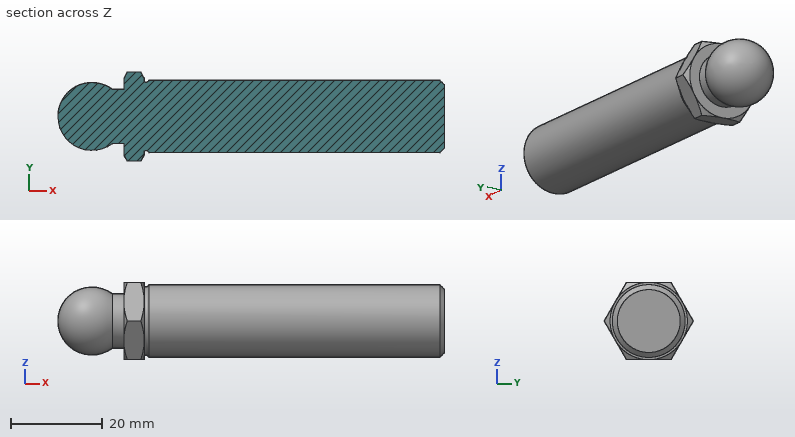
import cadquery as cq
import math

TOTAL_LENGTH = 85.0
BALL_DIAMETER = 15.0
NECK_DIAMETER = 12.0

SHANK_DIAMETER = 16.0
SHANK_LENGTH = 65.0
SHANK_END_CHAMFER = 1.09

GROOVE_DIAMETER = 15.1
GROOVE_RADIUS = 0.65
GROOVE_WIDTH = 1.0

HEX_SIDES = 6
HEX_ACROSS_FLATS = 17.0
HEX_THICKNESS = 4.5
HEX_CHAMFER_ANGLE = 30.0

ball_radius = BALL_DIAMETER / 2
neck_radius = NECK_DIAMETER / 2
shank_radius = SHANK_DIAMETER / 2
groove_bottom_radius = GROOVE_DIAMETER / 2
ball_tip_x = -ball_radius
shank_end_x = ball_tip_x + TOTAL_LENGTH
shank_start_x = shank_end_x - SHANK_LENGTH
hex_back_x = shank_start_x - GROOVE_WIDTH
hex_front_x = hex_back_x - HEX_THICKNESS


def make_turned_body():
    """Ball, neck, relief groove and shank as one revolved profile."""
    groove_center_r = groove_bottom_radius + GROOVE_RADIUS
    groove_center_x = shank_start_x - math.sqrt(GROOVE_RADIUS**2 - (groove_center_r - shank_radius) ** 2)
    groove_start_r = groove_center_r - math.sqrt(GROOVE_RADIUS**2 - (groove_center_x - hex_back_x) ** 2)
    neck_start_x = math.sqrt(ball_radius**2 - neck_radius**2)
    return (
        cq.Workplane("XY")
        .moveTo(ball_tip_x, 0)
        .threePointArc((0, ball_radius), (neck_start_x, neck_radius))
        .lineTo(hex_front_x, neck_radius)
        .lineTo(hex_front_x, groove_start_r)
        .lineTo(hex_back_x, groove_start_r)
        .threePointArc((groove_center_x, groove_bottom_radius), (shank_start_x, shank_radius))
        .lineTo(shank_end_x - SHANK_END_CHAMFER, shank_radius)
        .lineTo(shank_end_x, shank_radius - SHANK_END_CHAMFER)
        .lineTo(shank_end_x, 0)
        .close()
        .revolve(360, (0, 0, 0), (1, 0, 0))
    )


def make_hexagon():
    """Hexagon with corners along Y, its corners turned to a cone on both faces."""
    across_corners = HEX_ACROSS_FLATS / math.cos(math.pi / HEX_SIDES)
    corner_radius = across_corners / 2
    face_radius = HEX_ACROSS_FLATS / 2
    chamfer_length = (corner_radius - face_radius) * math.tan(math.radians(HEX_CHAMFER_ANGLE))
    prism = (
        cq.Workplane("YZ", origin=(hex_front_x, 0, 0))
        .polygon(HEX_SIDES, across_corners)
        .extrude(HEX_THICKNESS)
    )
    chamfer_envelope = (
        cq.Workplane("XY")
        .moveTo(hex_front_x, 0)
        .lineTo(hex_front_x, face_radius)
        .lineTo(hex_front_x + chamfer_length, corner_radius)
        .lineTo(hex_back_x - chamfer_length, corner_radius)
        .lineTo(hex_back_x, face_radius)
        .lineTo(hex_back_x, 0)
        .close()
        .revolve(360, (0, 0, 0), (1, 0, 0))
    )
    return prism.intersect(chamfer_envelope)


result = make_turned_body().union(make_hexagon())